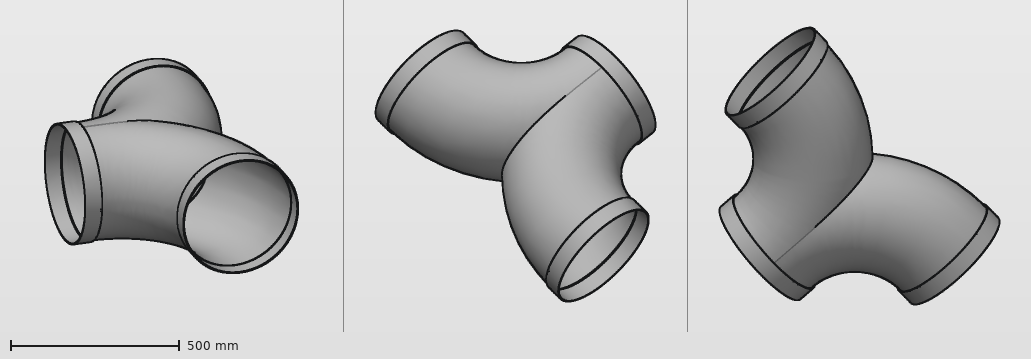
import cadquery as cq

half_span = 405.0
pipe_diameter = 355.0
pipe_bore = 351.0
collar_diameter = 363.0
collar_length = 53.5
socket_depth = 49.5

bend_radius = half_span - socket_depth
socket_diameter = pipe_diameter
inlet_face_y = -(bend_radius + collar_length)


def bend(diameter, side):
    """Solid quarter torus from the inlet to the port on one side (-1 or +1)."""
    pivot_x = side * bend_radius
    return (
        cq.Workplane("XZ", origin=(0, -bend_radius, 0))
        .circle(diameter / 2)
        .revolve(90, (pivot_x, 0, 0), (pivot_x, -side, 0))
    )


def port_cylinder(diameter, length, side):
    """Cylinder running inward along X from a port face."""
    return cq.Workplane("YZ", origin=(side * half_span, 0, 0)).circle(diameter / 2).extrude(-side * length)


def inlet_cylinder(diameter, length):
    """Cylinder running inward along Y from the inlet face."""
    return cq.Workplane("XZ", origin=(0, inlet_face_y, 0)).circle(diameter / 2).extrude(-length)


def both_sides(make_solid):
    """Union of a solid made for the left side and for the right side."""
    return make_solid(-1).union(make_solid(1))


pipes = both_sides(lambda side: bend(pipe_diameter, side))
port_collars = both_sides(lambda side: port_cylinder(collar_diameter, collar_length, side))
inlet_collar = inlet_cylinder(collar_diameter, collar_length)
body = pipes.union(port_collars).union(inlet_collar)

passage = both_sides(lambda side: bend(pipe_bore, side)).union(inlet_cylinder(pipe_bore, collar_length))

port_sockets = both_sides(lambda side: port_cylinder(socket_diameter, socket_depth, side))
inlet_socket = inlet_cylinder(socket_diameter, socket_depth)

result = body.cut(passage).cut(port_sockets).cut(inlet_socket)